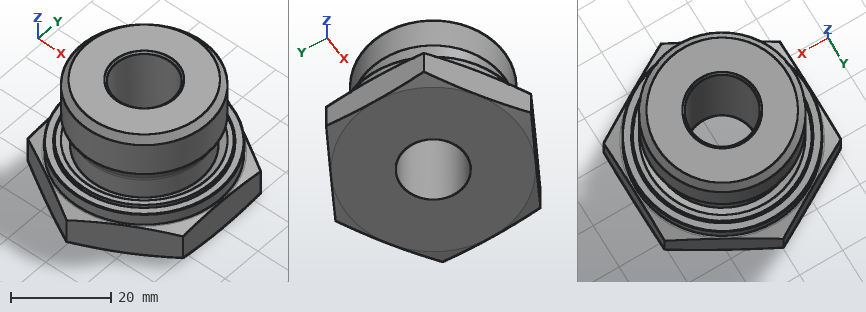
import cadquery as cq
import math

TOTAL_HEIGHT = 29.0
HEX_TOP = 8.0
COLLAR_TOP = 11.0
RING_TOP = 11.5
GROOVE_FLOOR = 9.0
THREAD_BOTTOM = 19.13

HEX_ACROSS_CORNERS = 47.35
HEX_CHAMFER_DIAMETER = 40.8
HEX_CHAMFER_ANGLE = 15.0
HEX_CLEARANCE = 0.45

COLLAR_DIAMETER = 39.9
COLLAR_CHAMFER = 0.15
GROOVE_DIAMETER = 36.0
GROOVE_CHAMFER = 0.2
NECK_DIAMETER = 29.6
NECK_FILLET = 1.8
THREAD_DIAMETER = 33.25
THREAD_CHAMFER = 1.5
THREAD_RUNOUT_ANGLE = 30.0
BORE_DIAMETER = 14.95
BORE_CHAMFER = 0.45

RING_DIAMETER = 35.7
RING_BORE = 29.7
RING_MOUTH_DIAMETER = 33.25
RING_MOUTH_ANGLE = 30.0


def tan_degrees(angle):
    return math.tan(math.radians(angle))


def revolve_profile(points):
    """Turn a closed (radius, height) outline about the Z axis."""
    return cq.Workplane("XZ").polyline(points).close().revolve(360, (0, 0), (0, 1))


def make_hexagon():
    """Hexagon with two corners on Y and conical chamfers at both ends."""
    prism = (
        cq.Workplane("XY")
        .transformed(rotate=(0, 0, 90))
        .polygon(6, HEX_ACROSS_CORNERS)
        .extrude(HEX_TOP)
    )
    face_radius = HEX_CHAMFER_DIAMETER / 2
    outer_radius = HEX_ACROSS_CORNERS / 2 + HEX_CLEARANCE
    slope = tan_degrees(HEX_CHAMFER_ANGLE)
    drop = (outer_radius - face_radius) * slope
    envelope = revolve_profile([
        (0, 0),
        (face_radius, 0),
        (outer_radius, drop),
        (outer_radius, HEX_TOP - drop),
        (face_radius, HEX_TOP),
        (0, HEX_TOP),
    ])
    return prism.intersect(envelope)


def make_turned_section():
    """Collar with its open sealing groove, neck and threaded end."""
    collar_radius = COLLAR_DIAMETER / 2
    groove_radius = GROOVE_DIAMETER / 2
    neck_radius = NECK_DIAMETER / 2
    thread_radius = THREAD_DIAMETER / 2
    neck_top = THREAD_BOTTOM - (thread_radius - neck_radius) / tan_degrees(THREAD_RUNOUT_ANGLE)
    turned = revolve_profile([
        (0, HEX_TOP),
        (collar_radius, HEX_TOP),
        (collar_radius, COLLAR_TOP - COLLAR_CHAMFER),
        (collar_radius - COLLAR_CHAMFER, COLLAR_TOP),
        (groove_radius + GROOVE_CHAMFER, COLLAR_TOP),
        (groove_radius, COLLAR_TOP - GROOVE_CHAMFER),
        (groove_radius, GROOVE_FLOOR),
        (neck_radius, GROOVE_FLOOR),
        (neck_radius, neck_top),
        (thread_radius, THREAD_BOTTOM),
        (thread_radius, TOTAL_HEIGHT - THREAD_CHAMFER),
        (thread_radius - THREAD_CHAMFER, TOTAL_HEIGHT),
        (0, TOTAL_HEIGHT),
    ])
    margin = 0.05
    neck_edge = cq.selectors.BoxSelector(
        (-thread_radius, -thread_radius, neck_top - margin),
        (thread_radius, thread_radius, neck_top + margin),
    )
    return turned.edges("%CIRCLE").edges(neck_edge).fillet(NECK_FILLET)


def make_bore_cutter():
    """Through bore with a chamfered mouth at the threaded end."""
    bore_radius = BORE_DIAMETER / 2
    return revolve_profile([
        (0, 0),
        (bore_radius, 0),
        (bore_radius, TOTAL_HEIGHT - BORE_CHAMFER),
        (bore_radius + BORE_CHAMFER, TOTAL_HEIGHT),
        (0, TOTAL_HEIGHT),
    ])


def make_fitting():
    return make_hexagon().union(make_turned_section()).cut(make_bore_cutter())


def make_sealing_ring():
    """Ring seated on the groove floor, with a conical mouth around the neck."""
    outer_radius = RING_DIAMETER / 2
    bore_radius = RING_BORE / 2
    mouth_radius = RING_MOUTH_DIAMETER / 2
    mouth_depth = (mouth_radius - bore_radius) * tan_degrees(RING_MOUTH_ANGLE)
    return revolve_profile([
        (bore_radius, GROOVE_FLOOR),
        (outer_radius, GROOVE_FLOOR),
        (outer_radius, RING_TOP),
        (mouth_radius, RING_TOP),
        (bore_radius, RING_TOP - mouth_depth),
    ])


fitting = make_fitting()
sealing_ring = make_sealing_ring()

result = cq.Compound.makeCompound([fitting.val(), sealing_ring.val()])